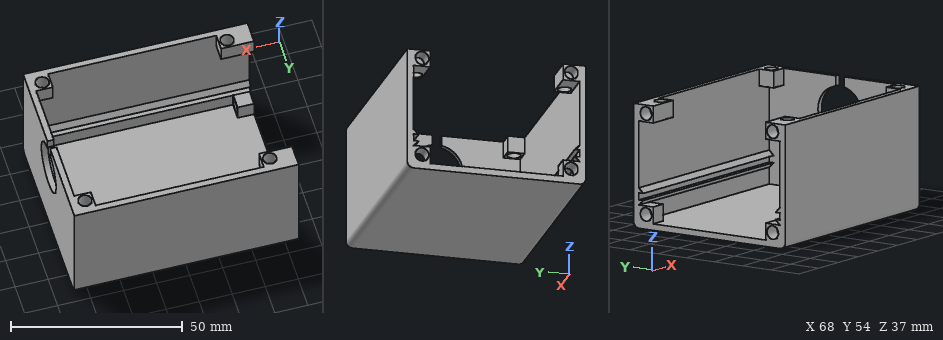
import cadquery as cq

length = 68.0
width = 54.0
height = 37.0
wall = 2.0
corner_radius = 2.0

block_size = 5.0
top_front_block_length = 2 * block_size
screw_hole_diameter = 4.0
screw_inset = block_size / 2

rail_size = 1.5
rail_gap = 2.1

cable_hole_diameter = 15.5
cable_hole_depth = 10.75
cable_slot_width = 2.85

inner_length = length - wall
inner_half_width = width / 2 - wall
screw_y = inner_half_width - screw_inset
top_block_z = height - block_size
front_screw_x = top_front_block_length - screw_inset
rear_screw_x = inner_length - screw_inset


def make_shell():
    outer = cq.Workplane("XY").box(length, width, height, centered=(False, True, False))
    outer = outer.edges("|X and <Z").fillet(corner_radius)
    cavity = (
        cq.Workplane("XY")
        .box(inner_length, 2 * inner_half_width, height, centered=(False, True, False))
        .translate((0, 0, wall))
    )
    return outer.cut(cavity)


def make_block(x_start, block_length, z_start):
    """Block against the +Y side wall; it runs into the wall so the two join."""
    return (
        cq.Workplane("XY")
        .box(block_length, block_size + wall / 2, block_size, centered=False)
        .translate((x_start, inner_half_width - block_size, z_start))
    )


def make_rail(flat_z, base_z):
    """Triangular rail on the +Y side wall with its flat face at flat_z."""
    tip_y = inner_half_width - rail_size
    root_y = inner_half_width + wall / 2
    profile = [
        (tip_y, flat_z),
        (root_y, flat_z),
        (root_y, base_z),
        (inner_half_width, base_z),
    ]
    return cq.Workplane("YZ").polyline(profile).close().extrude(inner_length)


def make_side_features():
    """Blocks and rails on the +Y side wall."""
    lower_base_z = wall + block_size
    lower_flat_z = lower_base_z + rail_size
    upper_flat_z = lower_flat_z + rail_gap
    upper_base_z = upper_flat_z + rail_size
    return (
        make_block(0, top_front_block_length, top_block_z)
        .union(make_block(inner_length - block_size, block_size, top_block_z))
        .union(make_block(0, block_size, wall))
        .union(make_rail(lower_flat_z, lower_base_z))
        .union(make_rail(upper_flat_z, upper_base_z))
    )


def make_screw_holes():
    """Vertical holes through the top blocks, X holes one block deep from the front."""
    radius = screw_hole_diameter / 2
    holes = (
        cq.Workplane("XY", origin=(0, 0, top_block_z))
        .pushPoints([(x, y) for x in (front_screw_x, rear_screw_x) for y in (-screw_y, screw_y)])
        .circle(radius)
        .extrude(block_size)
    )
    for z in (wall + screw_inset, height - screw_inset):
        holes = holes.union(
            cq.Workplane("YZ")
            .pushPoints([(-screw_y, z), (screw_y, z)])
            .circle(radius)
            .extrude(block_size)
        )
    return holes


def make_cable_opening():
    """Round hole through the rear wall with a slot up to the top edge."""
    center_z = height - cable_hole_depth
    hole = (
        cq.Workplane("YZ", origin=(inner_length, 0, center_z))
        .circle(cable_hole_diameter / 2)
        .extrude(wall)
    )
    slot = (
        cq.Workplane("XY")
        .box(wall, cable_slot_width, cable_hole_depth, centered=(False, True, False))
        .translate((inner_length, 0, center_z))
    )
    return hole.union(slot)


side_features = make_side_features()
result = (
    make_shell()
    .union(side_features)
    .union(side_features.mirror("XZ"))
    .cut(make_screw_holes())
    .cut(make_cable_opening())
)